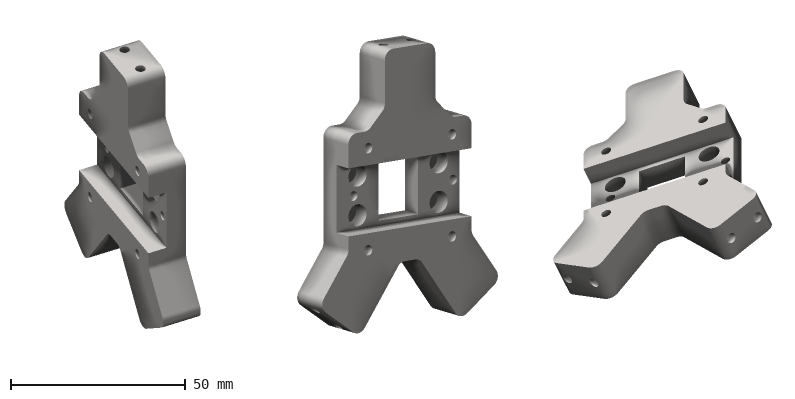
import cadquery as cq

thickness = 12.0
body_width = 44.0
body_height = 39.95
corner_diameter = 6.0

arm_width = 18.0
arm_reach = 43.0
leg_angle = 144.0
flare_height = 6.1

channel_height = 20.0
channel_depth = 5.7
window_width = 14.2
window_height = 16.9

small_hole_diameter = 3.0
mount_spacing = 30.0
end_hole_spacing = 10.0
end_hole_depth = 10.0
pin_hole_diameter = 2.9
magnet_diameter = 6.5
magnet_spacing_x = 29.0
magnet_spacing_z = 11.6
floor_hole_depth = 5.0
left_pin_x = -16.0
right_pin_x = 19.6

front_y = -thickness / 2
floor_y = front_y + channel_depth
arm_angles = (0, leg_angle, -leg_angle)


def rotate_about_center(shape, angle):
    return shape.rotate((0, 0, 0), (0, 1, 0), angle)


def arm(angle):
    """Bar from the plate centre to the arm tip."""
    bar = cq.Workplane("XY").box(arm_width, thickness, arm_reach, centered=(True, True, False))
    return rotate_about_center(bar, angle)


def shoulder_flare():
    """Trapezoid that widens the root of the top arm down to the shoulders."""
    root_z = body_height / 2
    half_arm = arm_width / 2
    half_root = half_arm + flare_height
    outline = [
        (-half_root, root_z),
        (half_root, root_z),
        (half_arm, root_z + flare_height),
        (-half_arm, root_z + flare_height),
    ]
    return cq.Workplane("XZ").polyline(outline).close().extrude(thickness / 2, both=True)


def holes_along_y(points, diameter, start_y, depth):
    """Cylinders running from start_y toward +Y."""
    return (
        cq.Workplane("XZ", origin=(0, start_y, 0))
        .pushPoints(points)
        .circle(diameter / 2)
        .extrude(-depth)
    )


def rectangle_points(spacing_x, spacing_z):
    return [(x * spacing_x / 2, z * spacing_z / 2) for x in (-1, 1) for z in (-1, 1)]


def end_holes(angle):
    """Pair of blind holes bored into an arm tip along the arm."""
    pair = (
        cq.Workplane("XY", origin=(0, 0, arm_reach))
        .pushPoints([(-end_hole_spacing / 2, 0), (end_hole_spacing / 2, 0)])
        .circle(small_hole_diameter / 2)
        .extrude(-end_hole_depth)
    )
    return rotate_about_center(pair, angle)


plate = cq.Workplane("XY").box(body_width, thickness, body_height).union(shoulder_flare())
for angle in arm_angles:
    plate = plate.union(arm(angle))
plate = plate.clean().edges("|Y").fillet(corner_diameter / 2)

channel = cq.Workplane("XY").box(body_width, channel_depth, channel_height)
plate = plate.cut(channel.translate((0, front_y + channel_depth / 2, 0)))
plate = plate.cut(cq.Workplane("XY").box(window_width, thickness, window_height))

mount_points = rectangle_points(mount_spacing, mount_spacing)
plate = plate.cut(holes_along_y(mount_points, small_hole_diameter, front_y, thickness))

magnet_points = rectangle_points(magnet_spacing_x, magnet_spacing_z)
plate = plate.cut(holes_along_y(magnet_points, magnet_diameter, floor_y, floor_hole_depth))
pin_points = [(left_pin_x, 0), (right_pin_x, 0)]
plate = plate.cut(holes_along_y(pin_points, pin_hole_diameter, floor_y, floor_hole_depth))

for angle in arm_angles:
    plate = plate.cut(end_holes(angle))

result = plate